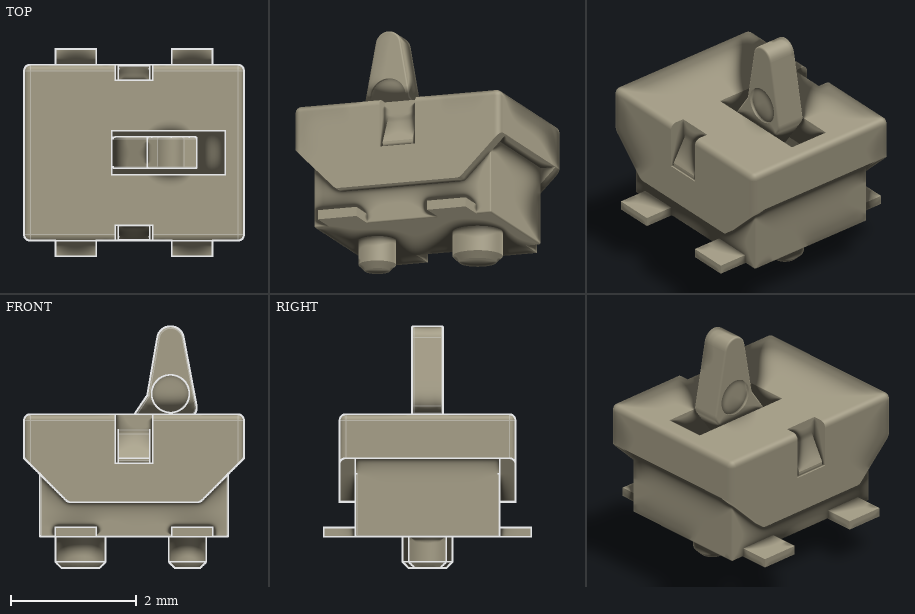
import cadquery as cq
import math


BASE_LENGTH = 3.0
BASE_WIDTH = 2.3
BASE_EDGE_RADIUS = 0.025

COVER_LENGTH = 3.5
COVER_WIDTH = 2.8
COVER_TOP = 1.95
COVER_RIM = 1.25
FLAP_BOTTOM = 0.55
COVER_EDGE_RADIUS = 0.1
COVER_OVERHANG = (COVER_LENGTH - BASE_LENGTH) / 2
FLAP_THICKNESS = (COVER_WIDTH - BASE_WIDTH) / 2
FLAP_MEETS_BASE = COVER_RIM - COVER_OVERHANG

WINDOW_LENGTH = 0.6
WINDOW_BOTTOM = 1.17
LATCH_LENGTH = 0.5
LATCH_TOP = 1.665
LATCH_TIP_TOP = 1.25
LATCH_REACH = 0.235
LATCH_ROOT_RADIUS = 0.13
LATCH_TIP_RADIUS = 0.05

SLOT_LEFT = -0.35
SLOT_RIGHT = 1.45
SLOT_WIDTH = 0.7
SLOT_FLOOR = 1.42

LEVER_X = 0.58
LEVER_TOP = 3.35
LEVER_THICKNESS = 0.5
LEVER_TIP_RADIUS = 0.215
LEVER_EDGE_RADIUS = 0.03
LEVER_KNEE = (0.208, 2.25)
LEVER_HEEL = (1.01, 2.02)
LEVER_HEEL_RADIUS = 0.15
LEVER_FOOT_X = 0.6
PIVOT_DIAMETER = 0.6
PIVOT_Z = 2.275
PIVOT_RECESS_DEPTH = 0.05

TERMINAL_LENGTH = 0.65
TERMINAL_SPAN = 3.3
TERMINAL_THICKNESS = 0.15
TERMINAL_CENTERS = (-0.925, 0.925)

PEGS = ((-0.85, 0.8), (0.85, 0.6))
PEG_LENGTH = 0.5
PEG_CHAMFER = 0.1


def block(length, width, bottom, top):
    """Box centred on X = Y = 0 between two heights."""
    box = cq.Workplane("XY").box(length, width, top - bottom, centered=(True, True, False))
    return box.translate((0, 0, bottom))


def make_base():
    """Base block; only its exposed lower part has rounded edges."""
    lower = block(BASE_LENGTH, BASE_WIDTH, 0, FLAP_MEETS_BASE)
    lower = lower.edges("|Z or <Z").fillet(BASE_EDGE_RADIUS)
    upper = block(BASE_LENGTH, BASE_WIDTH, FLAP_MEETS_BASE, COVER_RIM)
    return lower.union(upper)


def make_cover():
    """Cap with rounded edges, tapered flaps, and a flat underside between the flaps."""
    half_length = COVER_LENGTH / 2
    flap_half_length = half_length - (COVER_RIM - FLAP_BOTTOM)
    tapered = (
        cq.Workplane("XZ")
        .polyline([
            (-half_length, COVER_TOP),
            (-half_length, COVER_RIM),
            (-flap_half_length, FLAP_BOTTOM),
            (flap_half_length, FLAP_BOTTOM),
            (half_length, COVER_RIM),
            (half_length, COVER_TOP),
        ])
        .close()
        .extrude(COVER_WIDTH / 2, both=True)
        .edges("|Y and <Z")
        .fillet(COVER_EDGE_RADIUS)
    )
    rounded = block(COVER_LENGTH, COVER_WIDTH, 0, COVER_TOP)
    rounded = rounded.edges("|Z or >Z").fillet(COVER_EDGE_RADIUS)
    between_flaps = block(COVER_LENGTH, BASE_WIDTH, 0, COVER_RIM)
    return tapered.intersect(rounded).cut(between_flaps)


def cut_windows(body):
    """Open a latch window through both long sides of the cover."""
    window = block(WINDOW_LENGTH, FLAP_THICKNESS, WINDOW_BOTTOM, COVER_TOP)
    offset = (COVER_WIDTH - FLAP_THICKNESS) / 2
    for side in (-1, 1):
        body = body.cut(window.translate((0, side * offset, 0)))
    return body


def make_latch():
    """Latch wedge on the +Y side: a ramp with a rounded root and a rounded lower lip."""
    wall = BASE_WIDTH / 2
    tip = wall + LATCH_REACH
    ramp_angle = math.atan2(LATCH_REACH, LATCH_TOP - LATCH_TIP_TOP)
    tangent = LATCH_ROOT_RADIUS * math.tan(ramp_angle / 2)
    root_start = (wall, LATCH_TOP + tangent)
    root_end = (
        wall + tangent * math.sin(ramp_angle),
        LATCH_TOP - tangent * math.cos(ramp_angle),
    )
    return (
        cq.Workplane("YZ")
        .moveTo(*root_start)
        .radiusArc(root_end, -LATCH_ROOT_RADIUS)
        .lineTo(tip, LATCH_TIP_TOP)
        .lineTo(tip, WINDOW_BOTTOM + LATCH_TIP_RADIUS)
        .radiusArc((tip - LATCH_TIP_RADIUS, WINDOW_BOTTOM), LATCH_TIP_RADIUS)
        .lineTo(wall, WINDOW_BOTTOM)
        .close()
        .extrude(LATCH_LENGTH / 2, both=True)
    )


def cut_slot(body):
    """Sink the rectangular lever slot into the top of the cover."""
    slot = block(SLOT_RIGHT - SLOT_LEFT, SLOT_WIDTH, SLOT_FLOOR, COVER_TOP)
    return body.cut(slot.translate(((SLOT_LEFT + SLOT_RIGHT) / 2, 0, 0)))


def tip_tangent(corner, side):
    """Point where a flank from the given corner touches the round lever tip."""
    center_z = LEVER_TOP - LEVER_TIP_RADIUS
    dx = corner[0] - LEVER_X
    dz = corner[1] - center_z
    angle = math.atan2(dz, dx) + side * math.acos(LEVER_TIP_RADIUS / math.hypot(dx, dz))
    return (
        LEVER_X + LEVER_TIP_RADIUS * math.cos(angle),
        center_z + LEVER_TIP_RADIUS * math.sin(angle),
    )


def make_lever():
    """Upright lever with a round tip, a sloping toe and a pivot recess on both faces."""
    lever = (
        cq.Workplane("XZ")
        .moveTo(SLOT_LEFT, SLOT_FLOOR)
        .lineTo(*LEVER_KNEE)
        .lineTo(*tip_tangent(LEVER_KNEE, -1))
        .threePointArc((LEVER_X, LEVER_TOP), tip_tangent(LEVER_HEEL, 1))
        .lineTo(*LEVER_HEEL)
        .lineTo(LEVER_FOOT_X, SLOT_FLOOR)
        .close()
        .extrude(LEVER_THICKNESS / 2, both=True)
    )
    heel = cq.selectors.NearestToPointSelector((LEVER_HEEL[0], 0, LEVER_HEEL[1]))
    lever = lever.edges("|Y").edges(heel).fillet(LEVER_HEEL_RADIUS)
    lever = lever.faces("<Y or >Y").edges().fillet(LEVER_EDGE_RADIUS)
    recess = cq.Workplane("XZ").circle(PIVOT_DIAMETER / 2).extrude(PIVOT_RECESS_DEPTH / 2, both=True)
    offset = (LEVER_THICKNESS - PIVOT_RECESS_DEPTH) / 2
    for side in (-1, 1):
        lever = lever.cut(recess.translate((LEVER_X, side * offset, PIVOT_Z)))
    return lever


def make_peg(x, diameter):
    """Locating peg below the base with a chamfered end."""
    peg = cq.Workplane("XY").circle(diameter / 2).extrude(-PEG_LENGTH)
    return peg.faces("<Z").chamfer(PEG_CHAMFER).translate((x, 0, 0))


body = cut_windows(make_base().union(make_cover()))
latch = make_latch()
body = body.union(latch).union(latch.mirror("XZ"))
body = cut_slot(body).union(make_lever())

terminal = block(TERMINAL_LENGTH, TERMINAL_SPAN, 0, TERMINAL_THICKNESS)
for center in TERMINAL_CENTERS:
    body = body.union(terminal.translate((center, 0, 0)))

for peg_x, peg_diameter in PEGS:
    body = body.union(make_peg(peg_x, peg_diameter))

result = body